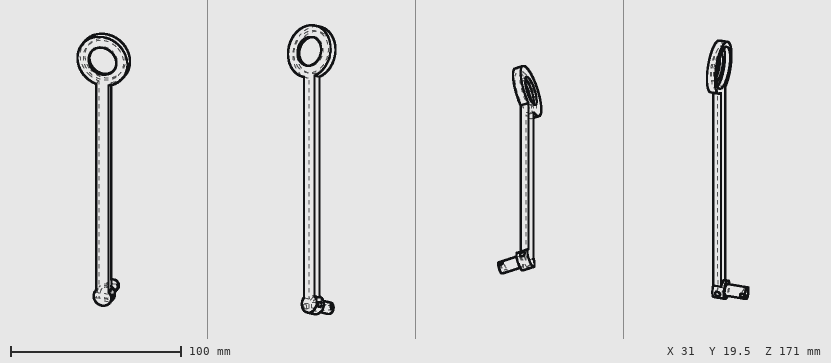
import cadquery as cq

total_height = 171.0
total_depth = 19.5

plate_thickness = 5.0
ring_diameter = 31.0
ring_bore = 17.1
counterbore_diameter = 25.0
counterbore_depth = 3.0
arm_width = 7.9

hub_diameter = 11.0
hub_length = 7.0
pin_diameter = 7.0

hub_hole_diameter = 3.0
hub_hole_y = 3.2
hub_hole_drop = 0.7
pin_hole_diameter = 2.5
pin_hole_end_distance = 1.7

hub_z = hub_diameter / 2
ring_z = total_height - ring_diameter / 2


def cylinder_along_y(diameter, length, z, start_y=0):
    """Cylinder from start_y towards +Y; the front face of the part is at Y = 0."""
    return cq.Workplane("XZ", origin=(0, start_y, z)).circle(diameter / 2).extrude(-length)


def cross_hole(diameter, y, z):
    """Cutter along X that passes through the hub or pin."""
    plane = cq.Workplane("YZ", origin=(0, y, z))
    return plane.circle(diameter / 2).extrude(hub_diameter, both=True)


ring = cylinder_along_y(ring_diameter, plate_thickness, ring_z)
arm = cq.Workplane("XY", origin=(0, plate_thickness / 2, hub_z)).box(
    arm_width, plate_thickness, ring_z - hub_z, centered=(True, True, False)
)
hub = cylinder_along_y(hub_diameter, hub_length, hub_z)
pin = cylinder_along_y(pin_diameter, total_depth, hub_z)
body = ring.union(arm).union(hub).union(pin)

bore = cylinder_along_y(ring_bore, plate_thickness, ring_z)
counterbore = cylinder_along_y(
    counterbore_diameter, counterbore_depth, ring_z, start_y=plate_thickness - counterbore_depth
)
hub_hole = cross_hole(hub_hole_diameter, hub_hole_y, hub_z - hub_hole_drop)
pin_hole = cross_hole(pin_hole_diameter, total_depth - pin_hole_end_distance, hub_z)

result = body.cut(bore).cut(counterbore).cut(hub_hole).cut(pin_hole)